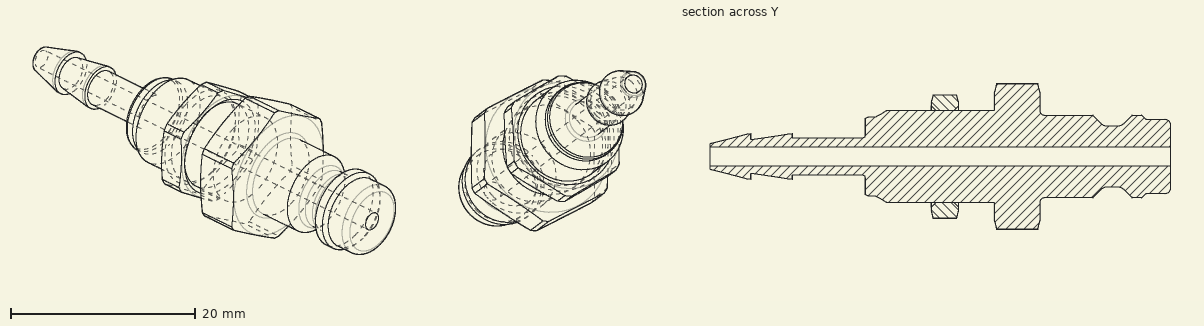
import cadquery as cq
import math

LENGTH = 50.0
BORE_D = 2.0

TIP_D = 2.9
TIP_ROUND = 0.15
BARB_D = 4.95
BARB_ROOT_D = 3.7
BARB_LAND = 0.35
BARB_ENDS = (4.45, 8.95)
STEM_D = 4.05
STEM_FILLET = 0.35

COLLAR_X = 16.85
COLLAR_D = 8.6
COLLAR_CHAMFER_LENGTH = 0.3
COLLAR_CHAMFER_DEPTH = 0.15
BARREL_CONE_X = 17.95
BARREL_X = 19.15
BARREL_D = 10.0

HEX_X = 30.85
HEX_LENGTH = 5.0
HEX_FLATS = 14.0
HEX_CORNER_D = 15.8
HEX_FACE_D = 13.9

PLUG_D = 9.0
PLUG_FILLET = 0.45
GROOVE_D = 6.65
GROOVE_START = 41.55
GROOVE_END = 45.8
GROOVE_RADIUS = 1.0
RIDGE_END = 46.85
NOSE_D = 8.1
NOSE_ROUND = 0.6

NUT_X = 24.0
NUT_LENGTH = 3.0
NUT_FLATS = 12.0
NUT_CORNER_D = 13.4
NUT_FACE_D = 11.85
NUT_TURN = 3.0
NUT_COUNTERSINK = 0.5

HEX_BEVEL_ANGLE = 16.0


def cylinder(x, length, diameter):
    return cq.Workplane("YZ", origin=(x, 0, 0)).circle(diameter / 2).extrude(length)


def bevelled_hexagon(x, length, flats, corner_d, face_d, turn=0):
    """Hexagon with a corner toward +Z, rounded corners and bevelled ends."""
    corner_r = corner_d / 2
    face_r = face_d / 2
    bevel = (corner_r - face_r) * math.tan(math.radians(HEX_BEVEL_ANGLE))
    envelope = (
        cq.Workplane("XY")
        .polyline([
            (x, 0), (x, face_r), (x + bevel, corner_r),
            (x + length - bevel, corner_r), (x + length, face_r), (x + length, 0),
        ])
        .close()
        .revolve(360, (0, 0, 0), (1, 0, 0))
    )
    across_corners = flats / math.cos(math.radians(30))
    prism = (
        cq.Workplane("YZ", origin=(x, 0, 0))
        .polygon(6, across_corners)
        .extrude(length)
        .rotate((0, 0, 0), (1, 0, 0), 90 + turn)
    )
    return prism.intersect(envelope)


def make_turned_blank():
    """Revolved outline of the connector, without its hexagon and bore."""
    slant = math.sqrt(0.5)
    tip_r = TIP_D / 2
    barb_r = BARB_D / 2
    stem_r = STEM_D / 2
    collar_r = COLLAR_D / 2
    barrel_r = BARREL_D / 2
    plug_r = PLUG_D / 2
    nose_r = NOSE_D / 2
    groove_r = GROOVE_D / 2
    first_barb, second_barb = BARB_ENDS
    plug_x = HEX_X + HEX_LENGTH

    arc_length = GROOVE_RADIUS * slant
    arc_rise = GROOVE_RADIUS * (1 - slant)
    wall_r = groove_r + arc_rise
    wall_length = plug_r - wall_r
    arc_start = GROOVE_START + wall_length
    arc_end = GROOVE_END - wall_length

    half_turn = math.radians(22.5)
    mid_length = GROOVE_RADIUS * math.sin(half_turn)
    mid_r = groove_r + GROOVE_RADIUS * (1 - math.cos(half_turn))
    floor_start = arc_start + arc_length
    floor_end = arc_end - arc_length

    fillet_mid = 1 - slant

    outline = (
        cq.Workplane("XY")
        .moveTo(0, 0)
        .lineTo(0, tip_r - TIP_ROUND)
        .threePointArc(
            (TIP_ROUND * fillet_mid, tip_r - TIP_ROUND * fillet_mid),
            (TIP_ROUND, tip_r),
        )
        .lineTo(first_barb - BARB_LAND, barb_r)
        .lineTo(first_barb, barb_r)
        .lineTo(first_barb, BARB_ROOT_D / 2)
        .lineTo(second_barb - BARB_LAND, barb_r)
        .lineTo(second_barb, barb_r)
        .lineTo(second_barb, stem_r)
        .lineTo(COLLAR_X - STEM_FILLET, stem_r)
        .threePointArc(
            (COLLAR_X - STEM_FILLET * fillet_mid, stem_r + STEM_FILLET * fillet_mid),
            (COLLAR_X, stem_r + STEM_FILLET),
        )
        .lineTo(COLLAR_X, collar_r - COLLAR_CHAMFER_DEPTH)
        .lineTo(COLLAR_X + COLLAR_CHAMFER_LENGTH, collar_r)
        .lineTo(BARREL_CONE_X, collar_r)
        .lineTo(BARREL_X, barrel_r)
        .lineTo(plug_x, barrel_r)
        .lineTo(plug_x, plug_r + PLUG_FILLET)
        .threePointArc(
            (plug_x + PLUG_FILLET * fillet_mid, plug_r + PLUG_FILLET * fillet_mid),
            (plug_x + PLUG_FILLET, plug_r),
        )
        .lineTo(GROOVE_START, plug_r)
        .lineTo(arc_start, wall_r)
        .threePointArc((floor_start - mid_length, mid_r), (floor_start, groove_r))
        .lineTo(floor_end, groove_r)
        .threePointArc((floor_end + mid_length, mid_r), (arc_end, wall_r))
        .lineTo(GROOVE_END, plug_r)
        .lineTo(RIDGE_END, plug_r)
        .lineTo(RIDGE_END + plug_r - nose_r, nose_r)
        .lineTo(LENGTH - NOSE_ROUND, nose_r)
        .threePointArc(
            (LENGTH - NOSE_ROUND * fillet_mid, nose_r - NOSE_ROUND * fillet_mid),
            (LENGTH, nose_r - NOSE_ROUND),
        )
        .lineTo(LENGTH, 0)
        .close()
    )
    return outline.revolve(360, (0, 0, 0), (1, 0, 0))


def make_connector():
    hexagon = bevelled_hexagon(HEX_X, HEX_LENGTH, HEX_FLATS, HEX_CORNER_D, HEX_FACE_D)
    bore = cylinder(0, LENGTH, BORE_D)
    return make_turned_blank().union(hexagon).cut(bore)


def make_lock_nut():
    """Hexagon nut with a bore that fits the barrel, countersunk at both ends."""
    blank = bevelled_hexagon(NUT_X, NUT_LENGTH, NUT_FLATS, NUT_CORNER_D, NUT_FACE_D, -NUT_TURN)
    drilled = blank.cut(cylinder(NUT_X, NUT_LENGTH, BARREL_D))
    bore_edges = drilled.edges(cq.selectors.RadiusNthSelector(0))
    return bore_edges.chamfer(NUT_COUNTERSINK)


connector = make_connector()
lock_nut = make_lock_nut()
result = cq.Compound.makeCompound([connector.val(), lock_nut.val()])